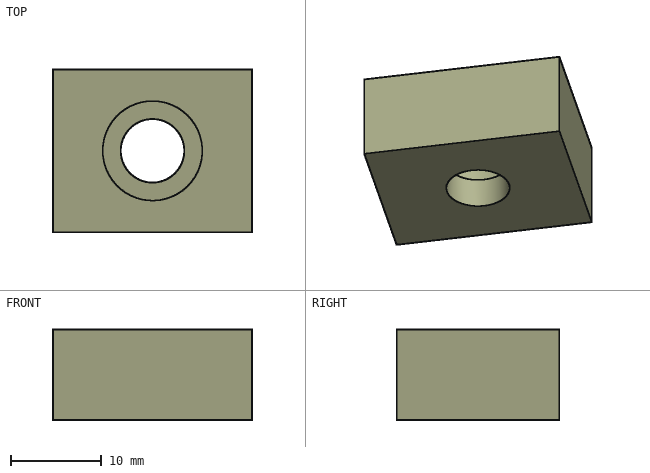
import cadquery as cq

length = 22.0
width = 18.0
height = 10.0

hole_diameter = 7.0
counterbore_diameter = 11.0
counterbore_depth = 6.5

block = cq.Workplane("XY").box(length, width, height)

result = (
    block.faces(">Z")
    .workplane()
    .cboreHole(hole_diameter, counterbore_diameter, counterbore_depth)
)